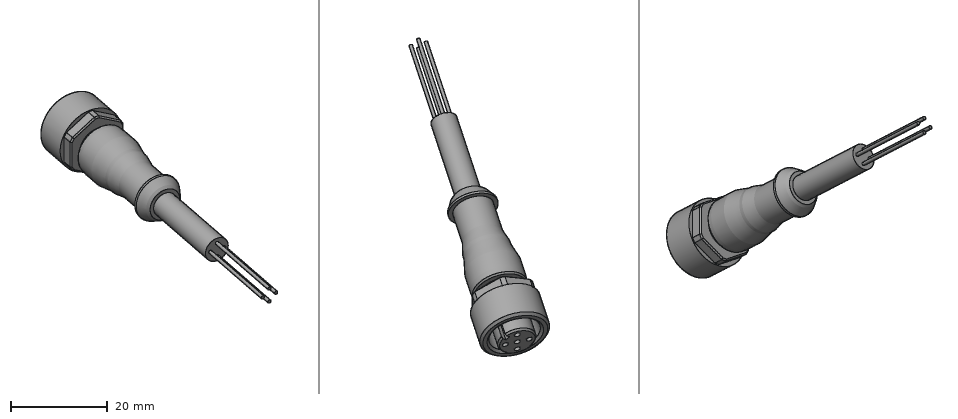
import cadquery as cq
import math

LENGTH = 77.8

INSERT_RADIUS = 4.1
INSERT_CHAMFER = 0.3
INSERT_CHAMFER_LENGTH = 0.5
CONTACT_RADIUS = 0.6
CONTACT_OFFSET = 2.6
CONTACT_DEPTH = 6.2
KEYWAY_WIDTH = 1.1
KEYWAY_FLOOR_RADIUS = 2.95
KEYWAY_ANGLE = 45.0
KEYWAY_DEPTH = CONTACT_DEPTH

NUT_START = 1.55
NUT_RADIUS = 15.0 / 2
NUT_CHAMFER = 0.55
NUT_END = 9.5
BORE_RADIUS = 5.5
BORE_CHAMFER = 0.55
BORE_END = 8.2
HEX_END = 12.05
HEX_APOTHEM = 13.0 / 2
HEX_CORNER_RADIUS = 14.4 / 2
HEX_CHAMFER = 0.3

NECK_RADIUS = 4.35
GRIP_START = 13.45
GRIP_NOSE_RADIUS = 5.6
GRIP_NOSE_LENGTH = 0.4
GRIP_SHOULDER_RADIUS = 5.9
GRIP_SHOULDER_END = 15.1
GRIP_RADIUS = 12.05 / 2
GRIP_TAPER_START = 19.3
WAIST_START = 23.3
WAIST_END = 24.2
WAIST_RADIUS = 5.1
TAIL_START = 27.2
TAIL_RADIUS = 8.8 / 2

COLLAR_START = 34.7
COLLAR_RADIUS = 5.4
COLLAR_RIM_LENGTH = 0.55
COLLAR_TAPER_END = 37.35
COLLAR_TAPER_RADIUS = 4.2
COLLAR_END = 37.9
COLLAR_END_RADIUS = 3.65

CABLE_RADIUS = 2.8
CABLE_END = 57.7
WIRE_RADIUS = 0.4
WIRE_OFFSET = 1.6

QUARTER_TURNS = [0, 90, 180, 270]


def disc(start, end, radius, y=0.0, z=0.0):
    """Cylinder along X from start to end, centred on (y, z)."""
    return cq.Workplane("YZ", origin=(start, y, z)).circle(radius).extrude(end - start)


def around_axis(radius, angles):
    """Points (y, z) at the given angles on a circle about the X axis."""
    turns = [math.radians(angle) for angle in angles]
    return [(radius * math.cos(turn), radius * math.sin(turn)) for turn in turns]


def turned(profile):
    """Solid of revolution about X from (x, radius) points, closed along the axis."""
    first_x = profile[0][0]
    last_x = profile[-1][0]
    outline = [(first_x, 0)] + profile + [(last_x, 0)]
    return cq.Workplane("XY").polyline(outline).close().revolve(360, (0, 0), (1, 0))


def make_nut():
    """Chamfered sleeve and hexagon with rounded corners, bored out around the insert."""
    sleeve = disc(NUT_START, NUT_END, NUT_RADIUS).faces("<X").chamfer(NUT_CHAMFER)
    hex_corner_diameter = 2 * HEX_APOTHEM / math.cos(math.pi / 6)
    hexagon = (
        cq.Workplane("YZ", origin=(NUT_END, 0, 0))
        .transformed(rotate=(0, 0, 90))
        .polygon(6, hex_corner_diameter)
        .extrude(HEX_END - NUT_END)
        .intersect(disc(NUT_END, HEX_END, HEX_CORNER_RADIUS))
        .faces(">X")
        .chamfer(HEX_CHAMFER)
    )
    bore = turned([
        (NUT_START, BORE_RADIUS + BORE_CHAMFER),
        (NUT_START + BORE_CHAMFER, BORE_RADIUS),
        (BORE_END, BORE_RADIUS),
    ])
    return sleeve.union(hexagon).cut(bore)


def make_insert():
    """Round insert with a centre contact, four outer contacts and one keyway."""
    insert = turned([
        (0, INSERT_RADIUS - INSERT_CHAMFER),
        (INSERT_CHAMFER_LENGTH, INSERT_RADIUS),
        (NUT_END, INSERT_RADIUS),
    ])
    for y, z in [(0, 0)] + around_axis(CONTACT_OFFSET, QUARTER_TURNS):
        insert = insert.cut(disc(0, CONTACT_DEPTH, CONTACT_RADIUS, y, z))
    keyway = (
        cq.Workplane("XY")
        .box(KEYWAY_DEPTH, INSERT_RADIUS, KEYWAY_WIDTH, centered=(False, False, True))
        .translate((0, KEYWAY_FLOOR_RADIUS, 0))
        .rotate((0, 0, 0), (1, 0, 0), KEYWAY_ANGLE)
    )
    return insert.cut(keyway)


def make_grip_and_cable():
    """Neck, tapered grip, collar and cable as one turned body."""
    return turned([
        (NUT_END, NECK_RADIUS),
        (GRIP_START, NECK_RADIUS),
        (GRIP_START, GRIP_NOSE_RADIUS),
        (GRIP_START + GRIP_NOSE_LENGTH, GRIP_SHOULDER_RADIUS),
        (GRIP_SHOULDER_END, GRIP_RADIUS),
        (GRIP_TAPER_START, GRIP_RADIUS),
        (WAIST_START, WAIST_RADIUS),
        (WAIST_END, WAIST_RADIUS),
        (TAIL_START, TAIL_RADIUS),
        (COLLAR_START, TAIL_RADIUS),
        (COLLAR_START, COLLAR_RADIUS),
        (COLLAR_START + COLLAR_RIM_LENGTH, COLLAR_RADIUS),
        (COLLAR_TAPER_END, COLLAR_TAPER_RADIUS),
        (COLLAR_END, COLLAR_END_RADIUS),
        (COLLAR_END, CABLE_RADIUS),
        (CABLE_END, CABLE_RADIUS),
    ])


def make_wires():
    """Four wires that start inside the cable and run out past its end."""
    wires = cq.Workplane("XY")
    for y, z in around_axis(WIRE_OFFSET, QUARTER_TURNS):
        wires = wires.union(disc(COLLAR_END, LENGTH, WIRE_RADIUS, y, z))
    return wires


result = (
    make_nut()
    .union(make_insert())
    .union(make_grip_and_cable())
    .union(make_wires())
)